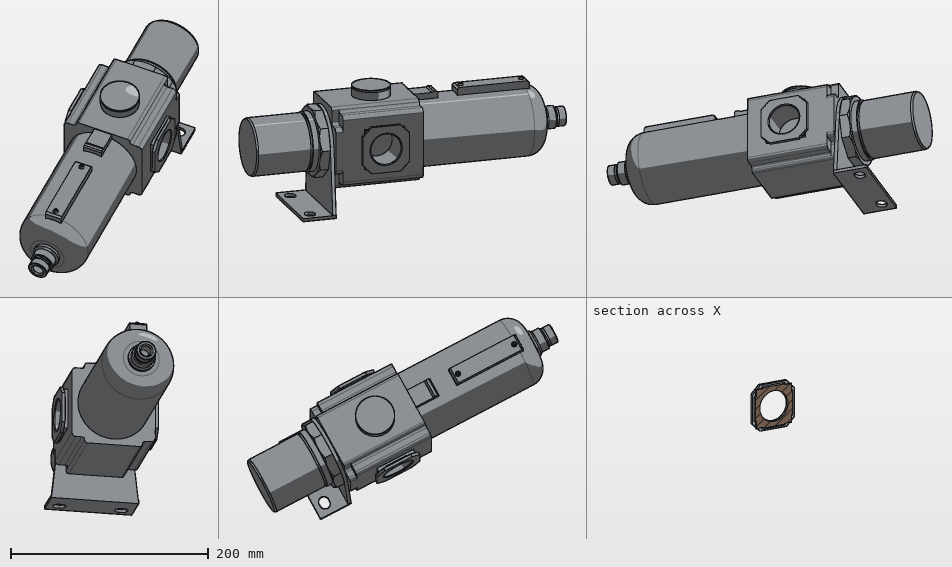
import cadquery as cq
import math


OVERALL_LENGTH = 336.5
OVERALL_WIDTH = 100.0

KNOB_END = 131.2
KNOB_BASE = 73.5
COLLAR_TOP = 71.5
NUT_TOP = 65.3
PLATE_BACK = 55.2
BODY_BACK = 51.5
CORNER_STEP = 43.7
BODY_FRONT = -41.7
DOME_START = -162.2
DOME_END = -180.7
DRAIN_END = KNOB_END - OVERALL_LENGTH

BODY_HALF = 43.0
SHOULDER_HALF = 30.0
CORNER_FLOOR = 37.0
DEEP_CORNER_FLOOR = 24.5
STEP_RADIUS = 2.85
CORNER_RADIUS = 4.0

KNOB_RADIUS = 30.0
KNOB_EDGE_RADIAL = 1.0
KNOB_EDGE_AXIAL = 2.0
KNOB_GROOVE_RADIUS = 29.0
COLLAR_RADIUS = 31.0
NUT_SIDES = 10
NUT_RADIUS = 37.5
NUT_EDGE = 1.7

PLATE_ARCH_RADIUS = 37.0
FOOT_HALF_WIDTH = 45.0
FOOT_BOTTOM = -70.0
FOOT_THICKNESS = 3.5
FOOT_BACK = 86.8
FOOT_CORNER_RADIUS = 1.0
SLOT_LENGTH = 13.0
SLOT_WIDTH = 10.8
SLOT_X = 32.0
SLOT_Y = 75.5

PORT_FACE = OVERALL_WIDTH / 2
FLANGE_BACK = 46.8
NECK_END = 45.5
FLANGE_HALF = 24.5
NECK_HALF = 21.0
TAPER_HALF = 23.0
OCTAGON_CORNER = 9.0
PORT_RADIUS = 16.0
PORT_CHAMFER = 1.0
PORT_DEPTH = 30.3

GAUGE_RADIUS = 20.0
GAUGE_RIM = 54.0
GAUGE_TOP = 58.0
GAUGE_GROOVE_TOP = 53.0
GAUGE_GROOVE_BOTTOM = 51.5
GAUGE_GROOVE_DEPTH = 0.17

BOWL_RADIUS = 37.0
DOME_RADIUS = DOME_START - DOME_END
DRAIN_FLANGE_RADIUS = 13.8
DRAIN_FLANGE_END = -183.7
DRAIN_HUB_RADIUS = 11.8
DRAIN_HUB_START = -185.7
DRAIN_HUB_END = -193.8
DRAIN_TIP_RADIUS = 10.0
DRAIN_GROOVE_START = -195.5
DRAIN_GROOVE_END = -197.5
DRAIN_GROOVE_DEPTH = 0.5
DRAIN_EDGE = 0.7
DRAIN_BORE_RADIUS = 5.5
DRAIN_BORE_DEPTH = 13.5
DRAIN_BORE_CHAMFER = 1.7

LATCH_HALF_WIDTH = 9.8
LATCH_TOP = 42.0
LATCH_RIDGE_START = -61.5
LATCH_RIDGE_CREST = -63.5
LATCH_END = -68.0
LATCH_EDGE = 1.5
COVER_HALF_WIDTH = 8.7
COVER_TOP = 44.0
COVER_START = -89.2
COVER_END = -166.0
COVER_EDGE = 2.0
SCREW_YS = (-95.2, -160.0)
SCREW_BASE_RADIUS = 2.7
SCREW_TOP_RADIUS = 1.7
SCREW_HEIGHT = 2.0
SOCKET_SIDES = 6
SOCKET_WIDTH = 2.0
SOCKET_DEPTH = 1.0


def revolve_about_y(points):
    """Revolve a (radius, y) outline about the main axis."""
    return cq.Workplane("XY").polyline(points).close().revolve(360, (0, 0, 0), (0, 1, 0))


def cross_plane(y):
    """Workplane across the main axis, with local axes X and Z; positive extrusion goes toward -Y."""
    return cq.Workplane("XZ", origin=(0, y, 0))


def body_section(y_start, y_end, corner_floor):
    """Square body length with a stepped, rounded notch along each corner."""
    length = y_end - y_start
    wide = cq.Workplane("XY").box(2 * BODY_HALF, length, 2 * corner_floor)
    tall = cq.Workplane("XY").box(2 * SHOULDER_HALF, length, 2 * BODY_HALF)
    section = wide.union(tall)
    section = section.edges("|Y").edges("not (>X or <X)").fillet(STEP_RADIUS)
    section = section.edges("|Y").edges(">X or <X").fillet(CORNER_RADIUS)
    return section.translate((0, (y_start + y_end) / 2, 0))


def knob():
    """Adjusting knob on its collar, with a groove between them."""
    return revolve_about_y([
        (0, BODY_BACK),
        (COLLAR_RADIUS, BODY_BACK),
        (COLLAR_RADIUS, COLLAR_TOP),
        (KNOB_GROOVE_RADIUS, COLLAR_TOP),
        (KNOB_GROOVE_RADIUS, KNOB_BASE),
        (KNOB_RADIUS, KNOB_BASE),
        (KNOB_RADIUS, KNOB_END - KNOB_EDGE_AXIAL),
        (KNOB_RADIUS - KNOB_EDGE_RADIAL, KNOB_END),
        (0, KNOB_END),
    ])


def ring_nut():
    """Ten-sided nut whose outer corners are turned off at the knob end."""
    prism = cross_plane(NUT_TOP).polygon(NUT_SIDES, 2 * NUT_RADIUS).extrude(NUT_TOP - PLATE_BACK)
    turned = revolve_about_y([
        (0, PLATE_BACK),
        (NUT_RADIUS, PLATE_BACK),
        (NUT_RADIUS, NUT_TOP - NUT_EDGE),
        (NUT_RADIUS - NUT_EDGE, NUT_TOP),
        (0, NUT_TOP),
    ])
    return prism.intersect(turned)


def bracket():
    """Upright plate with an arched top, bent into a slotted foot."""
    corner_angle = math.atan2(-FOOT_BOTTOM, FOOT_HALF_WIDTH)
    corner_distance = math.hypot(FOOT_HALF_WIDTH, FOOT_BOTTOM)
    tangent_angle = math.acos(PLATE_ARCH_RADIUS / corner_distance) - corner_angle
    tangent_x = PLATE_ARCH_RADIUS * math.cos(tangent_angle)
    tangent_z = PLATE_ARCH_RADIUS * math.sin(tangent_angle)
    plate = (
        cross_plane(PLATE_BACK)
        .moveTo(-FOOT_HALF_WIDTH, FOOT_BOTTOM)
        .lineTo(FOOT_HALF_WIDTH, FOOT_BOTTOM)
        .lineTo(tangent_x, tangent_z)
        .threePointArc((0, PLATE_ARCH_RADIUS), (-tangent_x, tangent_z))
        .close()
        .extrude(PLATE_BACK - BODY_BACK)
    )
    foot = (
        cq.Workplane("XY", origin=(0, BODY_BACK, FOOT_BOTTOM))
        .box(2 * FOOT_HALF_WIDTH, FOOT_BACK - BODY_BACK, FOOT_THICKNESS, centered=(True, False, False))
        .edges("|Z and >Y")
        .fillet(FOOT_CORNER_RADIUS)
    )
    slots = (
        cq.Workplane("XY", origin=(0, 0, FOOT_BOTTOM))
        .pushPoints([(-SLOT_X, SLOT_Y), (SLOT_X, SLOT_Y)])
        .slot2D(SLOT_LENGTH, SLOT_WIDTH)
        .extrude(FOOT_THICKNESS)
    )
    return plate.union(foot.cut(slots))


def octagon(half, x):
    """Square outline with cut corners, in the plane at the given X."""
    flat = half - OCTAGON_CORNER
    return cq.Workplane("YZ", origin=(x, 0, 0)).polyline([
        (half, -flat), (half, flat), (flat, half), (-flat, half),
        (-half, flat), (-half, -flat), (-flat, -half), (flat, -half),
    ]).close()


def port_boss():
    """Port boss on the +X side: square neck, tapered step and octagonal flange."""
    neck = cq.Workplane("YZ").rect(2 * NECK_HALF, 2 * NECK_HALF).extrude(FLANGE_BACK)
    step_length = FLANGE_BACK - NECK_END
    taper_angle = math.degrees(math.atan2(TAPER_HALF - NECK_HALF, step_length))
    step = octagon(NECK_HALF, NECK_END).extrude(step_length, taper=-taper_angle)
    flange = octagon(FLANGE_HALF, FLANGE_BACK).extrude(PORT_FACE - FLANGE_BACK)
    return neck.union(step).union(flange)


def port_bore():
    """Blind bore with a chamfered mouth on the +X side."""
    bottom = PORT_FACE - PORT_DEPTH
    return (
        cq.Workplane("XY")
        .polyline([
            (bottom, 0),
            (bottom, PORT_RADIUS),
            (PORT_FACE - PORT_CHAMFER, PORT_RADIUS),
            (PORT_FACE, PORT_RADIUS + PORT_CHAMFER),
            (PORT_FACE, 0),
        ])
        .close()
        .revolve(360, (0, 0, 0), (1, 0, 0))
    )


def gauge():
    """Round gauge with a domed glass and a fine groove below its rim."""
    groove_radius = GAUGE_RADIUS - GAUGE_GROOVE_DEPTH
    glass_rise = GAUGE_TOP - GAUGE_RIM
    glass_radius = (GAUGE_RADIUS**2 + glass_rise**2) / (2 * glass_rise)
    mid_x = GAUGE_RADIUS / 2
    mid_z = GAUGE_TOP - glass_radius + math.sqrt(glass_radius**2 - mid_x**2)
    return (
        cq.Workplane("XZ")
        .moveTo(0, 0)
        .lineTo(GAUGE_RADIUS, 0)
        .lineTo(GAUGE_RADIUS, GAUGE_GROOVE_BOTTOM)
        .lineTo(groove_radius, GAUGE_GROOVE_BOTTOM)
        .lineTo(groove_radius, GAUGE_GROOVE_TOP)
        .lineTo(GAUGE_RADIUS, GAUGE_GROOVE_TOP)
        .lineTo(GAUGE_RADIUS, GAUGE_RIM)
        .threePointArc((mid_x, mid_z), (0, GAUGE_TOP))
        .close()
        .revolve(360, (0, 0, 0), (0, 1, 0))
    )


def bowl():
    """Cylindrical bowl with a broadly rounded lower end."""
    length = BODY_FRONT - DOME_END
    cylinder = cross_plane(BODY_FRONT).circle(BOWL_RADIUS).extrude(length)
    return cylinder.faces("<Y").edges().fillet(DOME_RADIUS)


def drain():
    """Stepped drain nozzle with a chamfered bore in its tip."""
    groove_radius = DRAIN_TIP_RADIUS - DRAIN_GROOVE_DEPTH
    bore_mouth_radius = DRAIN_BORE_RADIUS + DRAIN_BORE_CHAMFER
    bore_bottom = DRAIN_END + DRAIN_BORE_DEPTH
    return revolve_about_y([
        (0, DOME_START),
        (DRAIN_FLANGE_RADIUS, DOME_START),
        (DRAIN_FLANGE_RADIUS, DRAIN_FLANGE_END),
        (DRAIN_HUB_RADIUS, DRAIN_HUB_START),
        (DRAIN_HUB_RADIUS, DRAIN_HUB_END),
        (DRAIN_TIP_RADIUS, DRAIN_HUB_END),
        (DRAIN_TIP_RADIUS, DRAIN_GROOVE_START),
        (groove_radius, DRAIN_GROOVE_START),
        (groove_radius, DRAIN_GROOVE_END),
        (DRAIN_TIP_RADIUS, DRAIN_GROOVE_END),
        (DRAIN_TIP_RADIUS, DRAIN_END + DRAIN_EDGE),
        (DRAIN_TIP_RADIUS - DRAIN_EDGE, DRAIN_END),
        (bore_mouth_radius, DRAIN_END),
        (DRAIN_BORE_RADIUS, DRAIN_END + DRAIN_BORE_CHAMFER),
        (DRAIN_BORE_RADIUS, bore_bottom),
        (0, bore_bottom),
    ])


def latch():
    """Bowl latch with a raised ridge at its free end."""
    return (
        cq.Workplane("YZ", origin=(-LATCH_HALF_WIDTH, 0, 0))
        .polyline([
            (BODY_FRONT, 0),
            (BODY_FRONT, LATCH_TOP),
            (LATCH_RIDGE_START, LATCH_TOP),
            (LATCH_RIDGE_CREST, BODY_HALF),
            (LATCH_END + LATCH_EDGE, BODY_HALF),
            (LATCH_END, BODY_HALF - LATCH_EDGE),
            (LATCH_END, 0),
        ])
        .close()
        .extrude(2 * LATCH_HALF_WIDTH)
    )


def screw_head(y):
    """Tapered screw head with a hexagon socket, seated on the cover."""
    head = (
        cq.Workplane("XY", origin=(0, y, COVER_TOP))
        .circle(SCREW_BASE_RADIUS)
        .workplane(offset=SCREW_HEIGHT)
        .circle(SCREW_TOP_RADIUS)
        .loft()
    )
    socket = (
        cq.Workplane("XY", origin=(0, y, COVER_TOP + SCREW_HEIGHT))
        .polygon(SOCKET_SIDES, SOCKET_WIDTH)
        .extrude(-SOCKET_DEPTH)
    )
    return head.cut(socket)


def sight_cover():
    """Raised cover with chamfered ends, held by a screw near each end."""
    cover = (
        cross_plane(COVER_START)
        .center(0, COVER_TOP / 2)
        .rect(2 * COVER_HALF_WIDTH, COVER_TOP)
        .extrude(COVER_START - COVER_END)
        .edges("|X and >Z")
        .chamfer(COVER_EDGE)
    )
    for y in SCREW_YS:
        cover = cover.union(screw_head(y))
    return cover


body = body_section(BODY_FRONT, CORNER_STEP, CORNER_FLOOR)
body = body.union(body_section(CORNER_STEP, BODY_BACK, DEEP_CORNER_FLOOR))

result = body
for feature in (knob(), ring_nut(), bracket(), gauge(), bowl(), drain(), latch(), sight_cover()):
    result = result.union(feature)

boss = port_boss()
bore = port_bore()
result = result.union(boss).union(boss.mirror("YZ"))
result = result.cut(bore).cut(bore.mirror("YZ"))